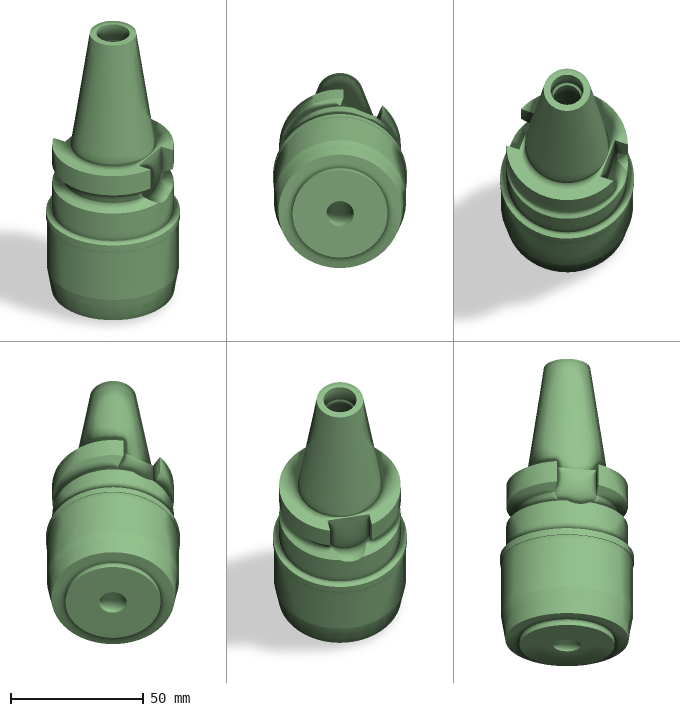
import cadquery as cq
import math


overall_height = 115.8
taper_length = 48.4
taper_ratio = 7 / 24
gauge_radius = 31.75 / 2
gauge_height = overall_height - taper_length
shank_end_radius = gauge_radius - taper_ratio * taper_length / 2

flange_radius = 23.0
neck_height = 1.0
flange_top = gauge_height - neck_height
groove_floor_radius = 19.0
gauge_to_groove = 13.6
groove_center = gauge_height - gauge_to_groove
groove_floor_width = 3.5
groove_flank_angle = 30.0
groove_flank_height = (flange_radius - groove_floor_radius) * math.tan(math.radians(groove_flank_angle))
groove_floor_bottom = groove_center - groove_floor_width / 2
groove_floor_top = groove_center + groove_floor_width / 2
groove_bottom = groove_floor_bottom - groove_flank_height
groove_top = groove_floor_top + groove_flank_height

collar_radius = 25.35
collar_bottom = 34.4
collar_height = 3.2
collar_cone_height = 0.6
collar_top = collar_bottom + collar_height
nut_radius = 25.0
nut_taper_top = 12.5
nut_end_radius = 23.3
nose_radius = 17.95
nose_height = 2.4

slot_width = 16.1
slot_floor_distance = 16.3
slot_bottom = 48.5
slot_center = slot_bottom + slot_width / 2

through_radius = 5.2
counterbore_radius = 6.25
counterbore_depth = 7.0


def make_body():
    """Revolve the outer outline, from the nose up to the shank end."""
    outline = [
        (0, 0),
        (nose_radius, 0),
        (nose_radius, nose_height),
        (nut_end_radius, nose_height),
        (nut_radius, nut_taper_top),
        (nut_radius, collar_bottom),
        (collar_radius, collar_bottom),
        (collar_radius, collar_top - collar_cone_height),
        (flange_radius, collar_top),
        (flange_radius, groove_bottom),
        (groove_floor_radius, groove_floor_bottom),
        (groove_floor_radius, groove_floor_top),
        (flange_radius, groove_top),
        (flange_radius, flange_top),
        (gauge_radius, flange_top),
        (gauge_radius, gauge_height),
        (shank_end_radius, overall_height),
        (0, overall_height),
    ]
    return cq.Workplane("YZ").polyline(outline).close().revolve(360, (0, 0, 0), (0, 1, 0))


def make_drive_slot(side):
    """Round-bottomed slot, open at the flange top, on the +X (side = 1) or -X (side = -1) side."""
    half_width = slot_width / 2
    return (
        cq.Workplane("YZ", origin=(side * slot_floor_distance, 0, 0))
        .moveTo(-half_width, flange_top)
        .lineTo(-half_width, slot_center)
        .threePointArc((0, slot_bottom), (half_width, slot_center))
        .lineTo(half_width, flange_top)
        .close()
        .extrude(side * (flange_radius - slot_floor_distance))
    )


def make_bore():
    """Through hole with a wider counterbore at the shank end."""
    through_hole = cq.Workplane("XY").circle(through_radius).extrude(overall_height)
    counterbore = (
        cq.Workplane("XY", origin=(0, 0, overall_height - counterbore_depth))
        .circle(counterbore_radius)
        .extrude(counterbore_depth)
    )
    return through_hole.union(counterbore)


result = make_body().cut(make_bore())
for slot_side in (-1, 1):
    result = result.cut(make_drive_slot(slot_side))